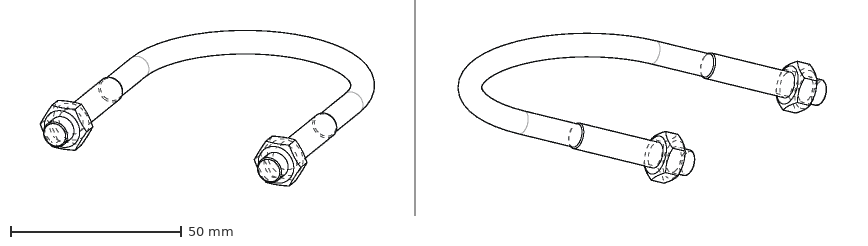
import cadquery as cq
import math

length = 97.0
rod_diameter = 7.0
thread_diameter = 7.8
thread_length = 40.0
end_chamfer = 0.4

nut_flats = 13.0
nut_height = 6.5
nut_offset = 5.0
nut_face_diameter = 11.4
nut_chamfer_angle = 30.0
overall_width = 84.0

nut_corners = nut_flats / math.cos(math.radians(30))
leg_spacing = overall_width - nut_corners
bend_radius = leg_spacing / 2
bend_start = length - bend_radius - rod_diameter / 2


def cylinder_along_y(diameter, x, start, height):
    plane = cq.Plane(origin=(x, start, 0), xDir=(1, 0, 0), normal=(0, 1, 0))
    return cq.Workplane(plane).circle(diameter / 2).extrude(height)


def bent_rod():
    """Plain rod swept along both legs and the half-circle bend."""
    path = (
        cq.Workplane("XY")
        .moveTo(-bend_radius, thread_length)
        .lineTo(-bend_radius, bend_start)
        .threePointArc((0, bend_start + bend_radius), (bend_radius, bend_start))
        .lineTo(bend_radius, thread_length)
    )
    plane = cq.Plane(origin=(-bend_radius, thread_length, 0), xDir=(1, 0, 0), normal=(0, 1, 0))
    return cq.Workplane(plane).circle(rod_diameter / 2).sweep(path)


def threaded_end(x):
    """Thicker leg end, chamfered at both of its rims."""
    return cylinder_along_y(thread_diameter, x, 0, thread_length).faces("<Y or >Y").chamfer(end_chamfer)


def hex_nut(x):
    """Hexagon with corners along X, trimmed by a cone at each face."""
    plane = cq.Plane(origin=(x, nut_offset, 0), xDir=(1, 0, 0), normal=(0, 1, 0))
    hexagon = cq.Workplane(plane).polygon(6, nut_corners).extrude(nut_height)
    face_radius = nut_face_diameter / 2
    corner_radius = nut_corners / 2
    cone_depth = (corner_radius - face_radius) * math.tan(math.radians(nut_chamfer_angle))
    turned_blank = (
        cq.Workplane("XY")
        .polyline([
            (0, 0),
            (face_radius, 0),
            (corner_radius, cone_depth),
            (corner_radius, nut_height - cone_depth),
            (face_radius, nut_height),
            (0, nut_height),
        ])
        .close()
        .revolve(360, (0, 0, 0), (0, 1, 0))
        .translate((x, nut_offset, 0))
    )
    return hexagon.intersect(turned_blank)


result = bent_rod()
for leg_x in (-bend_radius, bend_radius):
    result = result.union(threaded_end(leg_x)).union(hex_nut(leg_x))